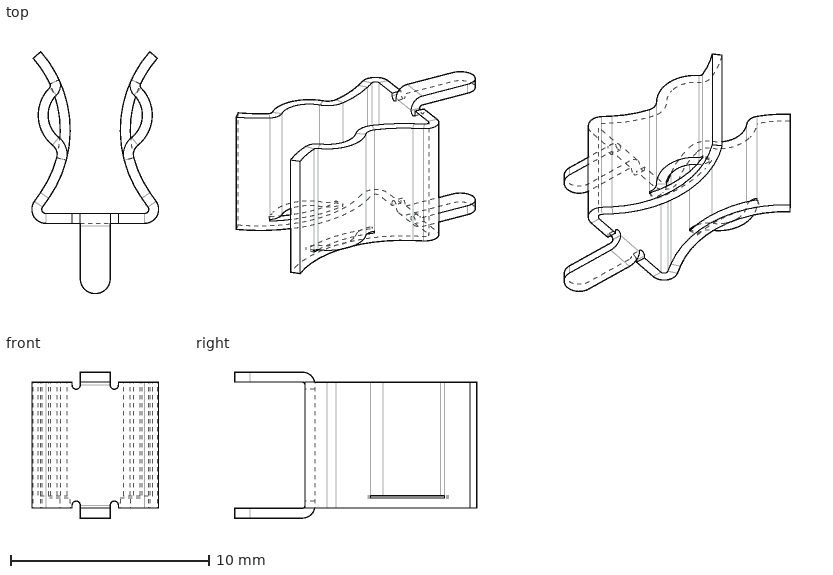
import cadquery as cq
import math

thickness = 0.51
clip_width = 6.4
clip_height = 6.35
bottom = -clip_height / 2

corner_inner_radius = 0.2
corner_outer_radius = corner_inner_radius + thickness
corner_center = (-clip_width / 2 + corner_outer_radius, corner_outer_radius)

lean_angle = 35.0
straight_length = 0.54
arm_outer_radius = 6.0
arm_mid_radius = arm_outer_radius - thickness / 2
tip_angle = 41.25

seat_center = (-0.93, 5.46)
seat_inner_radius = 1.44
seat_mid_radius = seat_inner_radius + thickness / 2
lower_blend_radius = 0.86
upper_blend_radius = 0.43
strap_height = 0.52
slit_height = 0.10

tab_width = 1.52
tab_end_y = -3.54
tab_bend_inner_radius = 0.13
tab_bend_outer_radius = tab_bend_inner_radius + thickness
notch_width = 0.4
notch_depth = 0.35


def polar(center, radius, angle):
    """Point at an angle in degrees on a circle."""
    a = math.radians(angle)
    return (center[0] + radius * math.cos(a), center[1] + radius * math.sin(a))


def direction(start, end):
    """Angle in degrees of the line from start to end."""
    return math.degrees(math.atan2(end[1] - start[1], end[0] - start[0]))


def ring_sector(center, mid_radius, start, end, z_low=bottom, z_high=-bottom, width=thickness):
    """Curved strip of sheet standing along Z, between two angles in degrees."""
    outer = mid_radius + width / 2
    inner = mid_radius - width / 2
    middle = (start + end) / 2
    return (
        cq.Workplane("XY", origin=(0, 0, z_low))
        .moveTo(*polar(center, outer, start))
        .threePointArc(polar(center, outer, middle), polar(center, outer, end))
        .lineTo(*polar(center, inner, end))
        .threePointArc(polar(center, inner, middle), polar(center, inner, start))
        .close()
        .extrude(z_high - z_low)
    )


corner_end_angle = 180 - lean_angle
straight_start_outer = polar(corner_center, corner_outer_radius, corner_end_angle)
straight_start_inner = polar(corner_center, corner_inner_radius, corner_end_angle)
straight_end_outer = polar(straight_start_outer, straight_length, 90 - lean_angle)
straight_end_inner = polar(straight_start_inner, straight_length, 90 - lean_angle)
arm_center = polar(straight_end_inner, arm_outer_radius, corner_end_angle)


def blend_center(blend_radius, side):
    """Center of a bend joining arm arc and seat; side is 1 near the tip, -1 near the base."""
    to_arm = arm_mid_radius - blend_radius
    to_seat = seat_mid_radius + blend_radius
    distance = math.dist(arm_center, seat_center)
    cosine = (to_arm**2 + distance**2 - to_seat**2) / (2 * to_arm * distance)
    offset = math.degrees(math.acos(cosine))
    return polar(arm_center, to_arm, direction(arm_center, seat_center) + side * offset)


def make_arm():
    """Left arm, from the corner bend to the tip."""
    corner_mid_radius = corner_inner_radius + thickness / 2
    corner = ring_sector(corner_center, corner_mid_radius, corner_end_angle, 270)
    straight = (
        cq.Workplane("XY", origin=(0, 0, bottom))
        .polyline([straight_start_outer, straight_end_outer, straight_end_inner, straight_start_inner])
        .close()
        .extrude(clip_height)
    )
    arc = ring_sector(arm_center, arm_mid_radius, -lean_angle, tip_angle)

    lower_center = blend_center(lower_blend_radius, -1)
    upper_center = blend_center(upper_blend_radius, 1)
    window_start = direction(arm_center, lower_center)
    window_end = direction(arm_center, upper_center)
    strap_top = bottom + strap_height
    seat_bottom = strap_top + slit_height
    window = ring_sector(
        arm_center, arm_mid_radius, window_start, window_end, strap_top, -bottom, 2 * thickness
    )

    lower_seat_angle = direction(lower_center, seat_center)
    upper_seat_angle = direction(upper_center, seat_center)
    lower_blend = ring_sector(
        lower_center, lower_blend_radius, window_start, lower_seat_angle, seat_bottom
    )
    seat = ring_sector(
        seat_center, seat_mid_radius, 180 + upper_seat_angle, 180 + lower_seat_angle, seat_bottom
    )
    upper_blend = ring_sector(
        upper_center, upper_blend_radius, upper_seat_angle, window_end, seat_bottom
    )

    arm = arc.cut(window)
    for piece in (lower_blend, seat, upper_blend, straight, corner):
        arm = arm.union(piece, clean=False)
    return arm


def make_base():
    """Flat plate between the corner bends, notched on both sides of each tab."""
    base_width = -2 * corner_center[0]
    base = cq.Workplane("XY").box(base_width, thickness, clip_height).translate((0, thickness / 2, 0))
    notch_x = (tab_width + notch_width) / 2
    for x in (-notch_x, notch_x):
        for z in (bottom, -bottom):
            notch = (
                cq.Workplane("XZ", origin=(x, 0, z))
                .slot2D(2 * notch_depth, notch_width, 90)
                .extrude(-thickness)
            )
            base = base.cut(notch)

    bend_zone = cq.Workplane("XY").box(tab_width, thickness, tab_bend_inner_radius)
    bend_zone_z = clip_height / 2 - tab_bend_inner_radius / 2
    for z in (-bend_zone_z, bend_zone_z):
        base = base.cut(bend_zone.translate((0, thickness / 2, z)))
    return base


def make_tab():
    """Upper tab: bent outwards from the base edge and rounded at its end."""
    bend_center = (-tab_bend_inner_radius, clip_height / 2 - tab_bend_inner_radius)
    profile = (
        cq.Workplane("YZ", origin=(-tab_width / 2, 0, 0))
        .moveTo(*polar(bend_center, tab_bend_outer_radius, 0))
        .threePointArc(
            polar(bend_center, tab_bend_outer_radius, 45), polar(bend_center, tab_bend_outer_radius, 90)
        )
        .lineTo(tab_end_y, clip_height / 2 + thickness)
        .lineTo(tab_end_y, clip_height / 2)
        .lineTo(*polar(bend_center, tab_bend_inner_radius, 90))
        .threePointArc(
            polar(bend_center, tab_bend_inner_radius, 45), polar(bend_center, tab_bend_inner_radius, 0)
        )
        .close()
        .extrude(tab_width)
    )
    end_radius = tab_width / 2
    end_center_y = tab_end_y + end_radius
    outline = (
        cq.Workplane("XY", origin=(0, 0, bottom))
        .moveTo(-end_radius, thickness)
        .lineTo(-end_radius, end_center_y)
        .threePointArc((0, tab_end_y), (end_radius, end_center_y))
        .lineTo(end_radius, thickness)
        .close()
        .extrude(clip_height + thickness)
    )
    return profile.intersect(outline)


left_arm = make_arm()
upper_tab = make_tab()
result = make_base()
for piece in (left_arm, left_arm.mirror("YZ"), upper_tab, upper_tab.mirror("XY")):
    result = result.union(piece, clean=False)